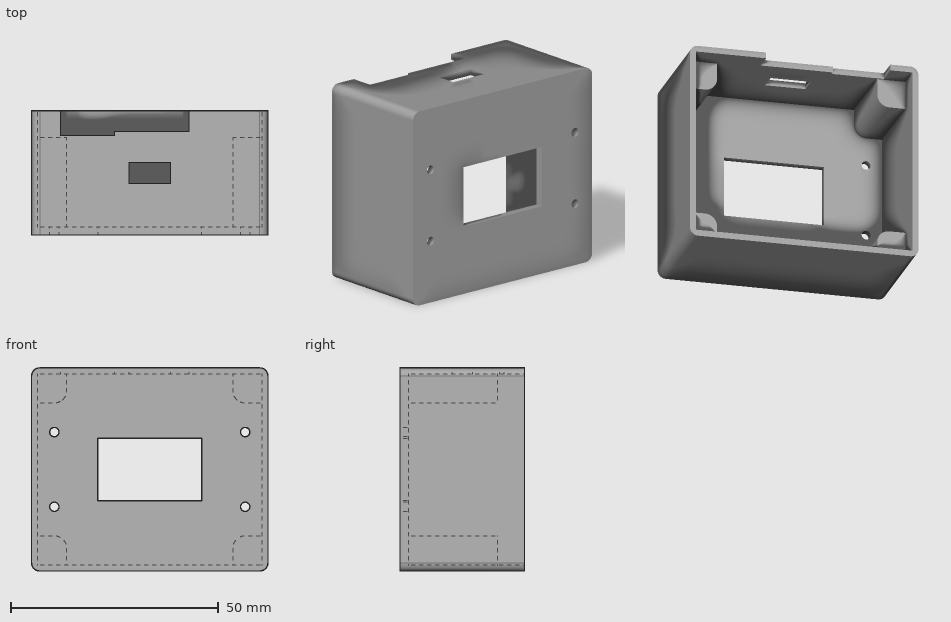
import cadquery as cq

WIDTH = 57.0
DEPTH = 30.0
HEIGHT = 49.0
FRONT_WALL = 2.0
SIDE_WALL = 1.5
CORNER_RADIUS = 2.0

WINDOW_WIDTH = 25.0
WINDOW_HEIGHT = 15.0
SCREW_DIAMETER = 2.2
SCREW_SPACING_X = 46.0
SCREW_SPACING_Z = 18.0

POST_SIZE = 7.0
POST_RADIUS = 3.0
POST_END_Y = 8.5

SLOT_WIDTH = 10.0
SLOT_DEPTH = 5.0
NOTCH_LEFT_X = -21.5
NOTCH_STEP_X = -8.5
NOTCH_RIGHT_X = 9.5
NOTCH_DEEP = 6.0
NOTCH_SHALLOW = 5.0

FRONT_Y = -DEPTH / 2
BACK_Y = DEPTH / 2
INNER_FRONT_Y = FRONT_Y + FRONT_WALL
INNER_HALF_WIDTH = WIDTH / 2 - SIDE_WALL
INNER_HALF_HEIGHT = HEIGHT / 2 - SIDE_WALL
TOP_WALL_MID_Z = (HEIGHT - SIDE_WALL) / 2
CUT_THICKNESS = 2 * FRONT_WALL


def block(x_min, x_max, y_min, y_max, z_min, z_max):
    """Axis-aligned box between the given limits."""
    size = (x_max - x_min, y_max - y_min, z_max - z_min)
    return cq.Workplane("XY").box(*size, centered=False).translate((x_min, y_min, z_min))


def make_shell():
    """Box with rounded long edges, hollowed from the back."""
    outer = cq.Workplane("XY").box(WIDTH, DEPTH, HEIGHT).edges("|Y").fillet(CORNER_RADIUS)
    cavity = block(
        -INNER_HALF_WIDTH, INNER_HALF_WIDTH,
        INNER_FRONT_Y, BACK_Y,
        -INNER_HALF_HEIGHT, INNER_HALF_HEIGHT,
    )
    return outer.cut(cavity)


def make_posts():
    """Four corner posts, rounded on the edge facing the middle of the cavity."""
    post = block(
        INNER_HALF_WIDTH - POST_SIZE, INNER_HALF_WIDTH + SIDE_WALL / 2,
        FRONT_Y + FRONT_WALL / 2, POST_END_Y,
        INNER_HALF_HEIGHT - POST_SIZE, INNER_HALF_HEIGHT + SIDE_WALL / 2,
    )
    post = post.edges("|Y and <X and <Z").fillet(POST_RADIUS)
    right_pair = post.union(post.mirror("XY"))
    return right_pair.union(right_pair.mirror("YZ"))


def make_front_openings():
    """Window and four screw holes through the front wall."""
    front_wall_mid_y = FRONT_Y + FRONT_WALL / 2
    window = cq.Workplane("XY").box(WINDOW_WIDTH, CUT_THICKNESS, WINDOW_HEIGHT)
    holes = (
        cq.Workplane("XZ")
        .rarray(SCREW_SPACING_X, SCREW_SPACING_Z, 2, 2)
        .circle(SCREW_DIAMETER / 2)
        .extrude(CUT_THICKNESS / 2, both=True)
    )
    return window.union(holes).translate((0, front_wall_mid_y, 0))


def make_top_openings():
    """Slot and stepped notch through the top wall."""
    slot = cq.Workplane("XY").box(SLOT_WIDTH, SLOT_DEPTH, CUT_THICKNESS)
    notch = (
        cq.Workplane("XY")
        .moveTo(NOTCH_LEFT_X, BACK_Y)
        .lineTo(NOTCH_LEFT_X, BACK_Y - NOTCH_DEEP)
        .lineTo(NOTCH_STEP_X, BACK_Y - NOTCH_DEEP)
        .lineTo(NOTCH_STEP_X, BACK_Y - NOTCH_SHALLOW)
        .lineTo(NOTCH_RIGHT_X, BACK_Y - NOTCH_SHALLOW)
        .lineTo(NOTCH_RIGHT_X, BACK_Y)
        .close()
        .extrude(CUT_THICKNESS / 2, both=True)
    )
    return slot.union(notch).translate((0, 0, TOP_WALL_MID_Z))


result = (
    make_shell()
    .union(make_posts())
    .cut(make_front_openings())
    .cut(make_top_openings())
)